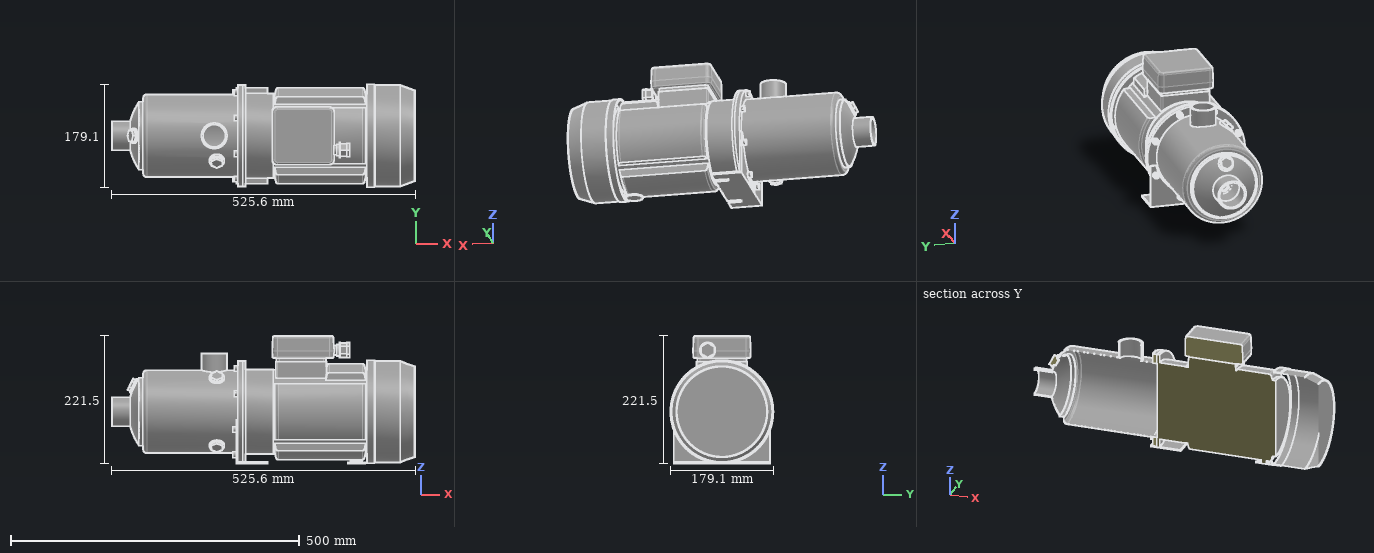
import cadquery as cq
import math

BASE_Z = -90.0

WALL = 2.0
CASING_R = 72.0
INLET_R, INLET_BORE_R = 50.8 / 2, 44.84 / 2
DOME_START_X, DOME_END_X = 31.5, 46.5
DOME_R = 116.1 / 2
CAP_R = 59.25
SHOULDER_X = 54.0
SHOULDER_FILLET = 6.5
FLANGE_R = 176.5 / 2
FLANGE_X = 218.5
JOINT_X = 227.0
OUTLET_X, OUTLET_TOP_Z = 177.5, 101.0
OUTLET_R, OUTLET_BORE_R = 44.5 / 2, 38.95 / 2

DOME_CENTRE_X = (DOME_END_X**2 + DOME_R**2 - DOME_START_X**2 - INLET_R**2) / (2 * (DOME_END_X - DOME_START_X))
SPHERE_R = math.hypot(DOME_CENTRE_X - DOME_END_X, DOME_R)

SCREW_COUNT = 8
SCREW_CIRCLE_R = 81.0
SCREW_HEAD_R, SCREW_HEAD_LENGTH = 10 / 2, 6.3
SCREW_SHANK_R = 7 / 2
SOCKET_FLATS, SOCKET_DEPTH = 5.0, 3.0

PLUG_X = 182.0
PLUG_ANGLE = 45.0
PLUG_OFFSET = 10.4
DOME_PLUG_ANGLE = 26.0
PLUG_SHANK_R, PLUG_SHANK_LENGTH = 13 / 2, 4.0
PLUG_COLLAR_R, PLUG_COLLAR_HEIGHT = 13.0, 2.0
PLUG_HEX_FLATS, PLUG_HEX_HEIGHT = 19.0, 5.4
PLUG_SEAT_DEPTH = 5.0

BRACKET_T = 3.0
BRACKET_HALF_WIDTH = 83.5
BRACKET_TOP_Z = -14.2
BRACKET_HOLE_R = 74.5
FOOT_END_X = 270.0
FOOT_SLOT_Y, FOOT_SLOT_WIDTH, FOOT_SLOT_LENGTH = 53.0, 10.0, 25.0
WINDOW_WIDTH, WINDOW_HEIGHT = 47.0, 11.0

MOTOR_FLANGE_T = 4.8
ADAPTER_R, ADAPTER_END_X = 73.5, 280.0
BARREL_R, BARREL_END_X = 72.8, 446.0
PAD_R, PAD_HALF_WIDTH = 83.5, 48.5
PAD_START_X, PAD_END_X = 282.5, 440.0
TOP_PAD_START_X = 371.0
PAD_FILLET, PAD_SLOPE = 4.5, 2.8
NECK_START_X, NECK_END_X = 284.0, 372.5
NECK_HALF_WIDTH, NECK_CORNER_R = 44.0, 2.5
NECK_STEP, NECK_STEP_Z = 1.0, 87.0
NECK_RIM_CORNER_R = 5.0

REAR_FOOT_X = 424.0
PAD_DISC_R, PAD_DISC_T = 30 / 2, 2.2
NUT_DISC_R, NUT_DISC_T = 21 / 2, 1.6
STEM_R = 10 / 2
NOTCH_COUNT, NOTCH_R = 12, 1.2

COVER_START_X, COVER_END_X = 442.3, 525.6
COVER_WALL = (176.5 - 174.1) / 2
COVER_R, COLLAR_R = 176.5 / 2, 179.1 / 2
COLLAR_END_X, COLLAR_CHAMFER = 455.0, 1.3
TAPER_START_X, COVER_END_R = 499.7, 79.2

BOX_BOTTOM_Z, BOX_SPLIT_Z, BOX_TOP_Z = 93.0, 106.0, 131.5
BOX_CENTRE_X = 331.6
BOX_LENGTH, BOX_WIDTH = 107.5, 100.5
BOX_CORNER_R, BOX_TOP_FILLET, BOX_BOTTOM_FILLET = 8.5, 3.6, 2.6
BOX_DRAFT = 2.5

GLAND_Y, GLAND_Z = -24.7, 106.7
GLAND_EMBED = 3.0
GLAND_ROOT_X = BOX_CENTRE_X + BOX_LENGTH / 2 - GLAND_EMBED
GLAND_NECK_R, GLAND_NECK_END_X = 17 / 2, 389.6
GLAND_COLLAR_R, GLAND_COLLAR_END_X = 20.4 / 2, 394.6
GLAND_DISC_R, GLAND_DISC_END_X = 13.5, 395.6
GLAND_NUT_R, GLAND_NUT_END_X = 12.8, 407.0
GLAND_CAP_R, GLAND_CAP_END_X = 13.5, 412.9


def x_cylinder(radius, x_start, x_end, y=0.0, z=0.0):
    return cq.Workplane("YZ", origin=(x_start, y, z)).circle(radius).extrude(x_end - x_start)


def z_cylinder(radius, z_start, z_end, x=0.0, y=0.0):
    return cq.Workplane("XY", origin=(x, y, z_start)).circle(radius).extrude(z_end - z_start)


def block(x_range, y_range, z_range):
    size = [end - start for start, end in (x_range, y_range, z_range)]
    return cq.Workplane("XY").box(*size, centered=False).translate((x_range[0], y_range[0], z_range[0]))


def revolve_about_x(profile):
    return profile.close().revolve(360, (0, 0, 0), (1, 0, 0))


def vessel(inset):
    """Solid dome, cap and barrel of the casing, with every surface moved inwards by inset."""
    sphere_r = SPHERE_R - inset
    cap_r = CAP_R - inset
    rim_angle = math.asin((DOME_R - inset) / sphere_r)
    shoulder_x = SHOULDER_X + inset
    radius = CASING_R - inset
    fillet = SHOULDER_FILLET - inset

    def on_dome(angle):
        return DOME_CENTRE_X - sphere_r * math.cos(angle), sphere_r * math.sin(angle)

    bend = fillet * (1 - math.sqrt(0.5))
    profile = (
        cq.Workplane("XY")
        .moveTo(*on_dome(0))
        .threePointArc(on_dome(rim_angle / 2), on_dome(rim_angle))
        .lineTo(on_dome(rim_angle)[0], cap_r)
        .lineTo(shoulder_x, cap_r)
        .lineTo(shoulder_x, radius - fillet)
        .threePointArc((shoulder_x + bend, radius - bend), (shoulder_x + fillet, radius))
        .lineTo(JOINT_X, radius)
        .lineTo(JOINT_X, 0)
    )
    return revolve_about_x(profile)


def screw_positions():
    pitch = 2 * math.pi / SCREW_COUNT
    angles = [(i + 0.5) * pitch for i in range(SCREW_COUNT)]
    return [(SCREW_CIRCLE_R * math.cos(a), SCREW_CIRCLE_R * math.sin(a)) for a in angles]


def is_on_bracket(z):
    return z < BRACKET_TOP_Z


def screw(y, z):
    seat_x = FLANGE_X - BRACKET_T if is_on_bracket(z) else FLANGE_X
    head_x = seat_x - SCREW_HEAD_LENGTH
    head = x_cylinder(SCREW_HEAD_R, head_x, seat_x, y, z)
    socket = (
        cq.Workplane("YZ", origin=(head_x, y, z))
        .polygon(6, SOCKET_FLATS, circumscribed=True)
        .extrude(SOCKET_DEPTH)
    )
    return head.union(x_cylinder(SCREW_SHANK_R, seat_x, JOINT_X, y, z)).cut(socket)


def plug_planes():
    """Work planes on the casing surface, with the normal pointing out along each plug."""
    planes = []
    seat_distance = math.sqrt(CASING_R**2 - PLUG_OFFSET**2)
    for side in (1, -1):
        angle = side * math.radians(PLUG_ANGLE)
        normal = (0, -math.cos(angle), math.sin(angle))
        seat_y = -seat_distance * math.cos(angle) + PLUG_OFFSET * math.sin(abs(angle))
        seat_z = seat_distance * math.sin(angle) + side * PLUG_OFFSET * math.cos(angle)
        seat = (PLUG_X, seat_y, seat_z)
        planes.append(cq.Plane(seat, xDir=(1, 0, 0), normal=normal))
    angle = math.radians(DOME_PLUG_ANGLE)
    normal = (-math.cos(angle), 0, math.sin(angle))
    seat = (DOME_CENTRE_X + SPHERE_R * normal[0], 0, SPHERE_R * normal[2])
    planes.append(cq.Plane(seat, xDir=(0, 1, 0), normal=normal))
    return planes


def plug_shank(plane):
    length = PLUG_SHANK_LENGTH + PLUG_COLLAR_HEIGHT
    return cq.Workplane(plane).workplane(offset=-PLUG_SHANK_LENGTH).circle(PLUG_SHANK_R).extrude(length)


def make_plug(plane, vessel_outside):
    collar = (
        cq.Workplane(plane)
        .workplane(offset=-PLUG_SEAT_DEPTH)
        .circle(PLUG_COLLAR_R)
        .extrude(PLUG_SEAT_DEPTH + PLUG_COLLAR_HEIGHT)
        .cut(vessel_outside)
    )
    hexagon = (
        cq.Workplane(plane)
        .workplane(offset=PLUG_COLLAR_HEIGHT)
        .polygon(6, PLUG_HEX_FLATS, circumscribed=True)
        .extrude(PLUG_HEX_HEIGHT)
    )
    return collar.union(hexagon).union(plug_shank(plane))


def make_casing(vessel_outside):
    body = vessel_outside.union(x_cylinder(INLET_R, 0, DOME_END_X))
    body = body.union(x_cylinder(FLANGE_R, FLANGE_X, JOINT_X))
    body = body.union(z_cylinder(OUTLET_R, 0, OUTLET_TOP_Z, OUTLET_X))
    body = body.cut(vessel(WALL))
    body = body.cut(x_cylinder(INLET_BORE_R, 0, DOME_END_X))
    body = body.cut(z_cylinder(OUTLET_BORE_R, 0, OUTLET_TOP_Z, OUTLET_X))
    for plane in plug_planes():
        body = body.cut(plug_shank(plane))
    for y, z in screw_positions():
        body = body.union(screw(y, z))
    return body


def make_bracket():
    width = (-BRACKET_HALF_WIDTH, BRACKET_HALF_WIDTH)
    plate_x = (FLANGE_X - BRACKET_T, FLANGE_X)
    foot_z = (BASE_Z, BASE_Z + BRACKET_T)
    plate = block(plate_x, width, (BASE_Z, BRACKET_TOP_Z))
    plate = plate.cut(x_cylinder(BRACKET_HOLE_R, *plate_x))
    for y, z in screw_positions():
        if is_on_bracket(z):
            plate = plate.cut(x_cylinder(SCREW_SHANK_R, *plate_x, y, z))
    window_z = (foot_z[1], foot_z[1] + WINDOW_HEIGHT)
    plate = plate.cut(block(plate_x, (-WINDOW_WIDTH / 2, WINDOW_WIDTH / 2), window_z))

    foot = block((plate_x[0], FOOT_END_X), width, foot_z)
    slot_r = FOOT_SLOT_WIDTH / 2
    slot_x = FOOT_END_X - FOOT_SLOT_LENGTH + slot_r
    for y in (-FOOT_SLOT_Y, FOOT_SLOT_Y):
        foot = foot.cut(z_cylinder(slot_r, *foot_z, slot_x, y))
        foot = foot.cut(block((slot_x, FOOT_END_X), (y - slot_r, y + slot_r), foot_z))
    foot = foot.cut(x_cylinder(FLANGE_R, FLANGE_X, JOINT_X + MOTOR_FLANGE_T))
    return plate.union(foot)


def pad_ring(x_start, x_end):
    """Full ring with sloped ends and rounded outer edges; the pads are cut from it."""
    profile = (
        cq.Workplane("XY")
        .moveTo(x_start, 0)
        .lineTo(x_start, BARREL_R)
        .lineTo(x_start + PAD_SLOPE, PAD_R)
        .lineTo(x_end - PAD_SLOPE, PAD_R)
        .lineTo(x_end, BARREL_R)
        .lineTo(x_end, 0)
    )
    return revolve_about_x(profile).edges(cq.selectors.RadiusNthSelector(-1)).fillet(PAD_FILLET)


def make_pads():
    across = (-PAD_HALF_WIDTH, PAD_HALF_WIDTH)
    length = (PAD_START_X, PAD_END_X)
    side_band = block(length, (-PAD_R, PAD_R), across)
    bottom_band = block(length, across, (-PAD_R, 0))
    pads = pad_ring(*length).intersect(side_band.union(bottom_band))
    top_length = (TOP_PAD_START_X, PAD_END_X)
    return pads.union(pad_ring(*top_length).intersect(block(top_length, across, (0, PAD_R))))


def make_box_neck():
    """Riser from the barrel to the terminal box, with a slightly smaller rim."""
    riser_y = (-NECK_HALF_WIDTH, NECK_HALF_WIDTH)
    riser = block((NECK_START_X, NECK_END_X), riser_y, (0, NECK_STEP_Z))
    rim_half_width = NECK_HALF_WIDTH - NECK_STEP
    rim_x = (NECK_START_X + NECK_STEP, NECK_END_X - NECK_STEP)
    rim = block(rim_x, (-rim_half_width, rim_half_width), (NECK_STEP_Z, BOX_BOTTOM_Z))
    return riser.edges("|Z").fillet(NECK_CORNER_R).union(rim.edges("|Z").fillet(NECK_RIM_CORNER_R))


def make_rear_foot():
    disc_top_z = BASE_Z + PAD_DISC_T
    nut_top_z = disc_top_z + NUT_DISC_T
    notches = (
        cq.Workplane("XY", origin=(REAR_FOOT_X, 0, BASE_Z))
        .polarArray(PAD_DISC_R, 180 / NOTCH_COUNT, 360, NOTCH_COUNT)
        .circle(NOTCH_R)
        .extrude(PAD_DISC_T)
    )
    disc = z_cylinder(PAD_DISC_R, BASE_Z, disc_top_z, REAR_FOOT_X).cut(notches)
    nut = z_cylinder(NUT_DISC_R, disc_top_z, nut_top_z, REAR_FOOT_X)
    stem = z_cylinder(STEM_R, nut_top_z, -BARREL_R, REAR_FOOT_X)
    return disc.union(nut).union(stem)


def make_motor():
    motor = x_cylinder(FLANGE_R, JOINT_X, JOINT_X + MOTOR_FLANGE_T)
    motor = motor.union(x_cylinder(ADAPTER_R, JOINT_X, ADAPTER_END_X))
    motor = motor.union(x_cylinder(BARREL_R, ADAPTER_END_X, BARREL_END_X))
    return motor.union(make_pads()).union(make_box_neck()).union(make_rear_foot())


def make_fan_cover():
    inner_r = COVER_R - COVER_WALL
    profile = (
        cq.Workplane("XY")
        .moveTo(COVER_START_X, inner_r)
        .lineTo(COVER_START_X, COLLAR_R)
        .lineTo(COLLAR_END_X, COLLAR_R)
        .lineTo(COLLAR_END_X + COLLAR_CHAMFER, COVER_R)
        .lineTo(TAPER_START_X, COVER_R)
        .lineTo(COVER_END_X - COVER_WALL, COVER_END_R)
        .lineTo(COVER_END_X, COVER_END_R)
        .lineTo(COVER_END_X, 0)
        .lineTo(COVER_END_X - COVER_WALL, 0)
        .lineTo(COVER_END_X - COVER_WALL, COVER_END_R - COVER_WALL)
        .lineTo(TAPER_START_X, inner_r)
    )
    return revolve_about_x(profile)


def drafted_half_box(height):
    """One half of the box, standing on the split line and narrowing with its height."""
    split = cq.Workplane("XY", origin=(BOX_CENTRE_X, 0, BOX_SPLIT_Z))
    outline = split.sketch().rect(BOX_LENGTH, BOX_WIDTH).vertices().fillet(BOX_CORNER_R).finalize()
    return outline.extrude(height, taper=BOX_DRAFT)


def gland_hexagon(corner_r, x_start, x_end):
    plane = cq.Workplane("YZ", origin=(x_start, GLAND_Y, GLAND_Z)).transformed(rotate=(0, 0, 90))
    return plane.polygon(6, 2 * corner_r).extrude(x_end - x_start)


def make_gland():
    gland = x_cylinder(GLAND_NECK_R, GLAND_ROOT_X, GLAND_NECK_END_X, GLAND_Y, GLAND_Z)
    collar = x_cylinder(GLAND_COLLAR_R, GLAND_NECK_END_X, GLAND_COLLAR_END_X, GLAND_Y, GLAND_Z)
    disc = x_cylinder(GLAND_DISC_R, GLAND_COLLAR_END_X, GLAND_DISC_END_X, GLAND_Y, GLAND_Z)
    nut = gland_hexagon(GLAND_NUT_R, GLAND_DISC_END_X, GLAND_NUT_END_X)
    cap = gland_hexagon(GLAND_CAP_R, GLAND_NUT_END_X, GLAND_CAP_END_X)
    for section in (collar, disc, nut, cap):
        gland = gland.union(section)
    return gland


def make_terminal_box():
    lid = drafted_half_box(BOX_TOP_Z - BOX_SPLIT_Z).faces(">Z").edges().fillet(BOX_TOP_FILLET)
    base = drafted_half_box(BOX_BOTTOM_Z - BOX_SPLIT_Z).faces("<Z").edges().fillet(BOX_BOTTOM_FILLET)
    return lid.union(base).union(make_gland())


vessel_outside = vessel(0)
casing = make_casing(vessel_outside)
plugs = [make_plug(plane, vessel_outside) for plane in plug_planes()]
bracket = make_bracket()
motor = make_motor()
fan_cover = make_fan_cover()
terminal_box = make_terminal_box()

result = cq.Compound.makeCompound(
    [
        casing.val(),
        *[plug.val() for plug in plugs],
        bracket.val(),
        motor.val(),
        fan_cover.val(),
        terminal_box.val(),
    ]
)